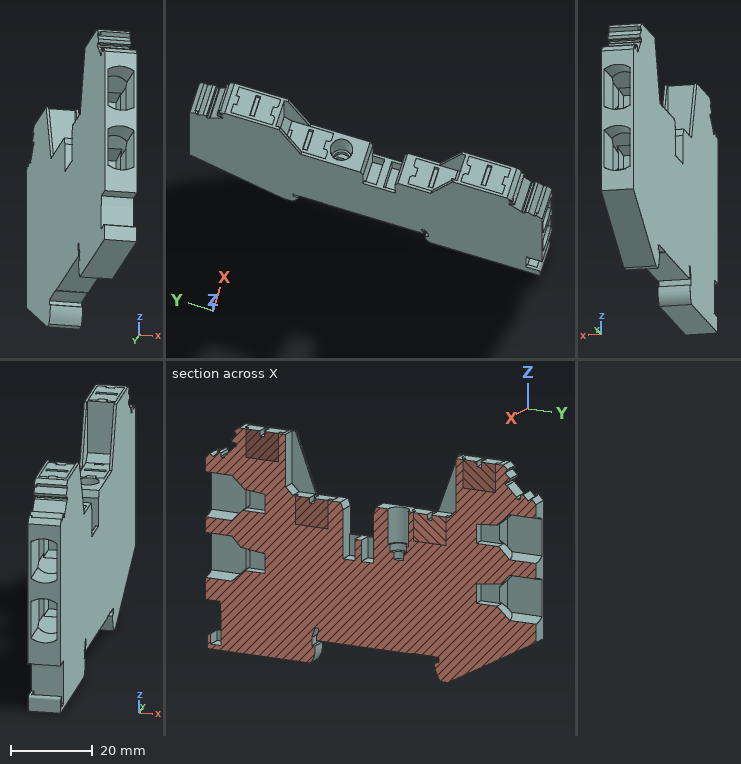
import cadquery as cq

LENGTH = 90.6
HEIGHT = 57.6
THICKNESS = 8.15
SIDE_WALL = 0.68
INNER_WIDTH = THICKNESS - 2 * SIDE_WALL
HALF_LENGTH = LENGTH / 2

DECK_Z = 42.3
SHOULDER_Z = 48.7
TOWER_INNER_Y = 22.3
TOWER_FOOT_Y = 16.7
TOWER_OUTER_Y = 36.2

NOTCH_MAX_Y = 0.68
NOTCH_MIN_Y = -7.5
NOTCH_FLOOR_Z = 33.3
NOTCH_LEAD_WIDTH = 0.7
NOTCH_LEAD_HEIGHT = 1.8

POCKET_LENGTH = 3.2
POCKET_DEPTH = 5.4

RECESS_WALL_Y = 23.3
RECESS_RAMP_Y = 21.3
RECESS_RAMP_HEIGHT = 1.9

INSERT_LENGTH = 10.7
INSERT_DEPTH = 7.25
OUTER_INSERT_Y = 34.9
INSERT_NOTCH_HALF = 1.1
OUTER_NOTCH_DEPTH = 0.8
INNER_NOTCH_DEPTH = 1.2
INNER_NOTCH_FLARE = 0.45
SLOT_WIDTH = 5.3
SLOT_LENGTH = 1.1
SLOT_DEPTH = 1.4
SLOT_SETBACK = 5.2

SCREW_Y = 7.5
SCREW_MOUTH_RADIUS = 2.7
SCREW_MOUTH_DEPTH = 9.1
SCREW_SEAT_RADIUS = 2.2
SCREW_SEAT_DEPTH = 10.9
SCREW_DRIVE_DEPTH = 12.7
SCREW_DRIVE_RADIUS = 1.1
SCREW_DRIVE_FLAT = 1.45

ENTRY_RADIUS = 5.7
ENTRY_WIDTH = 6.5
ENTRY_STRAIGHT = 7.25
ENTRY_SIDE_START = 9.5
ENTRY_FUNNEL_END = 11.1
ENTRY_BORE_END = 16.3
BORE_WIDTH = 4.6
UPPER_ENTRY = dict(
    axis_z=39.4,
    funnel_bottom=37.6,
    funnel_top=41.7,
    bore_bottom=36.7,
    bore_top=42.3,
    bore_end_top=41.5,
)
LOWER_ENTRY = dict(
    axis_z=23.9,
    funnel_bottom=21.8,
    funnel_top=25.55,
    bore_bottom=21.4,
    bore_top=27.4,
    bore_end_top=26.3,
)

MARKER_RIDGE = (44.0, 50.1)
MARKER_TEETH = [
    MARKER_RIDGE,
    (43.1, 49.4),
    (41.8, 50.8),
    (40.95, 50.6),
    (40.95, 49.65),
    (40.7, 49.4),
    (40.2, 49.4),
    (39.95, 49.9),
]
MARKER_MIRROR_OFFSET = 12.6

MARKER_HOOK = [
    MARKER_RIDGE,
    (43.8, 50.4),
    (43.2, 50.3),
    (43.2, 50.1),
    (43.7, 49.7),
]

FOOT_WALL_Y = -41.1
FOOT_LIP_Y = -43.8
FOOT_TOP_Z = 4.1
FOOT_TIP_Y = -44.8
FOOT_TIP_Z = 3.2
FOOT_OVERHANG_Z = 12.5
FOOT_GROOVE_FLOOR_Z = 1.4

SEAT_Z = 6.0
SEAT_RELIEF_Z = 6.2
CLAW_POCKET_Y = 18.7
LATCH_NOSE_Y = -15.2
LATCH_LEDGE_Z = 4.6
SLIT_CLAW_SIDE_Y = -14.9
SLIT_FOOT_SIDE_Y = -16.0
UNDERSIDE_CORNER_Y = 21.2
UNDERSIDE_CORNER_Z = 13.3


def mirror_marker(points):
    """Mirror marker points about the line z = y + offset."""
    return [(z - MARKER_MIRROR_OFFSET, y + MARKER_MIRROR_OFFSET) for y, z in points]


def extrude_outline(sketch, width):
    """Extrude a closed YZ outline symmetrically about X = 0."""
    return sketch.close().extrude(width / 2, both=True)


def box_between(y_min, y_max, z_min, z_max, width):
    """Box centred on X = 0 between the given Y and Z limits."""
    return cq.Workplane("XY").box(width, y_max - y_min, z_max - z_min).translate(
        (0, (y_min + y_max) / 2, (z_min + z_max) / 2)
    )


def mirror_ends(shape):
    """Copy a shape built at the +Y end to both ends."""
    return [shape, shape.mirror("XZ")]


def housing_blank():
    """Full-thickness plate with the outer outline, rail foot and latch slit."""
    plus_tower = (
        [(HALF_LENGTH, SHOULDER_Z)]
        + MARKER_TEETH
        + mirror_marker(reversed(MARKER_TEETH))
        + [(TOWER_OUTER_Y, HEIGHT), (TOWER_INNER_Y, HEIGHT), (TOWER_FOOT_Y, DECK_Z)]
    )
    minus_tower = [(-y, z) for y, z in reversed(plus_tower)]
    notch = [
        (NOTCH_MAX_Y + NOTCH_LEAD_WIDTH, DECK_Z),
        (NOTCH_MAX_Y, DECK_Z - NOTCH_LEAD_HEIGHT),
        (NOTCH_MAX_Y, NOTCH_FLOOR_Z),
        (NOTCH_MIN_Y, NOTCH_FLOOR_Z),
        (NOTCH_MIN_Y, DECK_Z - NOTCH_LEAD_HEIGHT),
        (NOTCH_MIN_Y - NOTCH_LEAD_WIDTH, DECK_Z),
    ]
    release_foot = [
        (-HALF_LENGTH, FOOT_OVERHANG_Z),
        (-41.3, FOOT_OVERHANG_Z),
        (FOOT_WALL_Y, 10.15),
        (FOOT_WALL_Y, FOOT_TOP_Z),
        (FOOT_LIP_Y, FOOT_TOP_Z),
    ]
    sketch = (
        cq.Workplane("YZ")
        .polyline(plus_tower + notch + minus_tower + release_foot)
        .threePointArc((-44.5, 3.9), (FOOT_TIP_Y, FOOT_TIP_Z))
        .lineTo(FOOT_TIP_Y, 0)
        .lineTo(-16.6, 0)
        .threePointArc((-15.6, 1.45), (LATCH_NOSE_Y, 3.1))
        .lineTo(LATCH_NOSE_Y, LATCH_LEDGE_Z)
        .lineTo(SLIT_FOOT_SIDE_Y, LATCH_LEDGE_Z)
        .lineTo(SLIT_FOOT_SIDE_Y, 6.7)
        .lineTo(-15.3, 8.9)
        .threePointArc((-14.8, 9.2), (-14.3, 8.6))
        .lineTo(SLIT_CLAW_SIDE_Y, 7.2)
        .lineTo(SLIT_CLAW_SIDE_Y, SEAT_Z)
        .lineTo(11.1, SEAT_Z)
        .lineTo(11.1, SEAT_RELIEF_Z)
        .lineTo(17.2, SEAT_RELIEF_Z)
        .lineTo(CLAW_POCKET_Y, SEAT_Z)
        .lineTo(CLAW_POCKET_Y, 5.0)
        .lineTo(17.3, 4.4)
        .threePointArc((17.85, 2.2), (18.9, 0))
        .lineTo(UNDERSIDE_CORNER_Y, 0)
        .lineTo(HALF_LENGTH, UNDERSIDE_CORNER_Z)
    )
    return extrude_outline(sketch, THICKNESS)


def marker_hook(points):
    """Thin hook on a marker ridge, as thick as the -X side wall."""
    outline = cq.Workplane("YZ", origin=(-THICKNESS / 2, 0, 0)).polyline(points)
    return outline.close().extrude(SIDE_WALL)


def foot_groove():
    """Groove behind the lip of the release foot, open at +X and closed by the -X side wall."""
    groove = box_between(FOOT_LIP_Y, FOOT_WALL_Y, FOOT_GROOVE_FLOOR_Z, FOOT_TOP_Z, THICKNESS)
    return groove.translate((SIDE_WALL, 0, 0))


def flank_recess():
    """Cut behind the sloping inner flank, leaving the two side walls standing."""
    sketch = cq.Workplane("YZ").polyline([
        (TOWER_FOOT_Y, DECK_Z),
        (RECESS_RAMP_Y, DECK_Z),
        (RECESS_WALL_Y, DECK_Z + RECESS_RAMP_HEIGHT),
        (RECESS_WALL_Y, HEIGHT),
        (TOWER_FOOT_Y, HEIGHT),
    ])
    return extrude_outline(sketch, INNER_WIDTH)


def bridge_pocket(start_y):
    """Rectangular pocket in the notch floor, starting at its -Y side."""
    return box_between(
        start_y,
        start_y + POCKET_LENGTH,
        NOTCH_FLOOR_Z - POCKET_DEPTH,
        NOTCH_FLOOR_Z,
        INNER_WIDTH,
    )


def screw_hole():
    """Stepped round hole that ends in a D-shaped drive hole."""
    deck = cq.Workplane("XY", origin=(0, SCREW_Y, DECK_Z))
    mouth = deck.circle(SCREW_MOUTH_RADIUS).extrude(-SCREW_MOUTH_DEPTH)
    seat = deck.circle(SCREW_SEAT_RADIUS).extrude(-SCREW_SEAT_DEPTH)
    drive = (
        deck.moveTo(-SCREW_DRIVE_RADIUS, 0)
        .threePointArc((0, -SCREW_DRIVE_RADIUS), (SCREW_DRIVE_RADIUS, 0))
        .lineTo(SCREW_DRIVE_RADIUS, SCREW_DRIVE_FLAT)
        .lineTo(-SCREW_DRIVE_RADIUS, SCREW_DRIVE_FLAT)
        .close()
        .extrude(-SCREW_DRIVE_DEPTH)
    )
    return mouth.union(seat).union(drive)


def wire_entry(axis_z, funnel_bottom, funnel_top, bore_bottom, bore_top, bore_end_top):
    """Round-ended mouth in the +Y end face, a funnel and a blind square bore."""
    straight_y = HALF_LENGTH - ENTRY_STRAIGHT
    side_y = HALF_LENGTH - ENTRY_SIDE_START
    funnel_y = HALF_LENGTH - ENTRY_FUNNEL_END
    bore_y = HALF_LENGTH - ENTRY_BORE_END
    mouth = (
        cq.Workplane("XZ", origin=(0, HALF_LENGTH, axis_z))
        .circle(ENTRY_RADIUS)
        .extrude(ENTRY_FUNNEL_END)
    )
    side_profile = extrude_outline(
        cq.Workplane("YZ").polyline([
            (HALF_LENGTH, axis_z - ENTRY_RADIUS),
            (straight_y, axis_z - ENTRY_RADIUS),
            (funnel_y, funnel_bottom),
            (funnel_y, funnel_top),
            (straight_y, axis_z + ENTRY_RADIUS),
            (HALF_LENGTH, axis_z + ENTRY_RADIUS),
        ]),
        ENTRY_WIDTH,
    )
    plan_profile = (
        cq.Workplane("XY")
        .polyline([
            (-ENTRY_WIDTH / 2, HALF_LENGTH),
            (-ENTRY_WIDTH / 2, side_y),
            (-BORE_WIDTH / 2, funnel_y),
            (BORE_WIDTH / 2, funnel_y),
            (ENTRY_WIDTH / 2, side_y),
            (ENTRY_WIDTH / 2, HALF_LENGTH),
        ])
        .close()
        .extrude(HEIGHT)
    )
    funnel = mouth.intersect(side_profile).intersect(plan_profile)
    bore = extrude_outline(
        cq.Workplane("YZ").polyline([
            (straight_y, bore_bottom),
            (bore_y, bore_bottom),
            (bore_y, bore_end_top),
            (straight_y, bore_top),
        ]),
        BORE_WIDTH,
    )
    return funnel.union(bore)


def make_housing(inserts):
    housing = housing_blank()
    for points in (MARKER_HOOK, mirror_marker(MARKER_HOOK)):
        for hook in mirror_ends(marker_hook(points)):
            housing = housing.union(hook)
    pocket_starts = (NOTCH_MIN_Y, NOTCH_MAX_Y - POCKET_LENGTH)
    cuts = [bridge_pocket(y) for y in pocket_starts]
    cuts += [screw_hole(), foot_groove()]
    cuts += mirror_ends(flank_recess())
    for entry in (UPPER_ENTRY, LOWER_ENTRY):
        cuts += mirror_ends(wire_entry(**entry))
    cuts += inserts
    for cut in cuts:
        housing = housing.cut(cut)
    return housing


def insert_block(outer_y, top_z):
    """Insert body with a notch in each end, flush with the surface at top_z."""
    half = INNER_WIDTH / 2
    inner_y = outer_y - INSERT_LENGTH
    flare_half = INSERT_NOTCH_HALF + INNER_NOTCH_FLARE
    return (
        cq.Workplane("XY", origin=(0, 0, top_z))
        .polyline([
            (-half, outer_y),
            (-INSERT_NOTCH_HALF, outer_y),
            (-INSERT_NOTCH_HALF, outer_y - OUTER_NOTCH_DEPTH),
            (INSERT_NOTCH_HALF, outer_y - OUTER_NOTCH_DEPTH),
            (INSERT_NOTCH_HALF, outer_y),
            (half, outer_y),
            (half, inner_y),
            (flare_half, inner_y),
            (INSERT_NOTCH_HALF, inner_y + INNER_NOTCH_FLARE),
            (INSERT_NOTCH_HALF, inner_y + INNER_NOTCH_DEPTH),
            (-INSERT_NOTCH_HALF, inner_y + INNER_NOTCH_DEPTH),
            (-INSERT_NOTCH_HALF, inner_y + INNER_NOTCH_FLARE),
            (-flare_half, inner_y),
            (-half, inner_y),
        ])
        .close()
        .extrude(-INSERT_DEPTH)
    )


def driver_slot(outer_y, top_z):
    """Shallow cross slot in the top of an insert."""
    slot_y = outer_y - SLOT_SETBACK
    return box_between(
        slot_y - SLOT_LENGTH / 2, slot_y + SLOT_LENGTH / 2, top_z - SLOT_DEPTH, top_z, SLOT_WIDTH
    )


insert_blocks = []
clamp_inserts = []
for place in ((OUTER_INSERT_Y, HEIGHT), (RECESS_RAMP_Y, DECK_Z)):
    block = insert_block(*place)
    insert_blocks += mirror_ends(block)
    clamp_inserts += mirror_ends(block.cut(driver_slot(*place)))

terminal_housing = make_housing(insert_blocks)

result = cq.Compound.makeCompound(
    [terminal_housing.val()] + [insert.val() for insert in clamp_inserts]
)